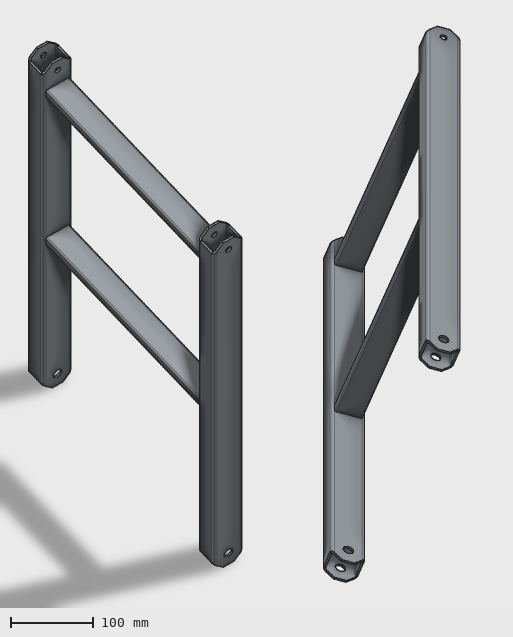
import cadquery as cq

frame_width = 381.0
frame_height = 616.0

rail_width = 32.0
rail_depth = 44.5
rail_wall = 3.0
rail_outer_radius = 4.5
rail_inner_radius = rail_outer_radius - rail_wall
rail_offset = (frame_width - rail_width) / 2

end_cut_depth = 14.0
end_cut_height = 14.0

top_hole_diameter = 8.5
top_hole_end_distance = 18.0
bottom_hole_diameter = 13.0
bottom_hole_end_distance = 21.5

rung_depth = 36.0
rung_thickness = 13.0
rung_edge_radius = 2.3
rung_heights = (286.0, 565.5)
rung_length = frame_width - 2 * rail_width


def rounded_bar(width, depth, height, radius):
    """Upright bar centred on the Z axis, standing on Z = 0."""
    bar = cq.Workplane("XY").box(width, depth, height, centered=(True, True, False))
    return bar.edges("|Z").fillet(radius)


def rail_side_outline():
    """Rail seen from the side, pointed at both ends, as a slab across the rail width."""
    half_depth = rail_depth / 2
    half_tip = half_depth - end_cut_depth
    shoulder = frame_height - end_cut_height
    outline = [
        (-half_tip, 0),
        (half_tip, 0),
        (half_depth, end_cut_height),
        (half_depth, shoulder),
        (half_tip, frame_height),
        (-half_tip, frame_height),
        (-half_depth, shoulder),
        (-half_depth, end_cut_height),
    ]
    return cq.Workplane("YZ").polyline(outline).close().extrude(rail_width / 2, both=True)


def pin_hole(diameter, height):
    """Cylinder along X that pierces both side walls of a rail."""
    return cq.Workplane("YZ").center(0, height).circle(diameter / 2).extrude(rail_width, both=True)


def flat_wall_trim():
    """Blocks that square off the front and back walls at both ends, between the rounded corners."""
    flat_width = rail_width - 2 * rail_outer_radius
    block = cq.Workplane("XY").box(flat_width, rail_wall, end_cut_height)
    wall_offset = (rail_depth - rail_wall) / 2
    trim = cq.Workplane("XY")
    for wall_y in (-wall_offset, wall_offset):
        for block_z in (end_cut_height / 2, frame_height - end_cut_height / 2):
            trim = trim.add(block.translate((0, wall_y, block_z)))
    return trim.combine()


def make_rail():
    tube = rounded_bar(rail_width, rail_depth, frame_height, rail_outer_radius)
    bore = rounded_bar(
        rail_width - 2 * rail_wall,
        rail_depth - 2 * rail_wall,
        frame_height,
        rail_inner_radius,
    )
    rail = tube.cut(bore).intersect(rail_side_outline())
    rail = rail.cut(flat_wall_trim())
    rail = rail.cut(pin_hole(top_hole_diameter, frame_height - top_hole_end_distance))
    return rail.cut(pin_hole(bottom_hole_diameter, bottom_hole_end_distance))


def make_rung(height):
    bar = cq.Workplane("XY").box(rung_length, rung_depth, rung_thickness)
    return bar.edges("|X").fillet(rung_edge_radius).translate((0, 0, height))


rail = make_rail()
result = rail.translate((-rail_offset, 0, 0)).union(rail.translate((rail_offset, 0, 0)))
for rung_height in rung_heights:
    result = result.union(make_rung(rung_height))